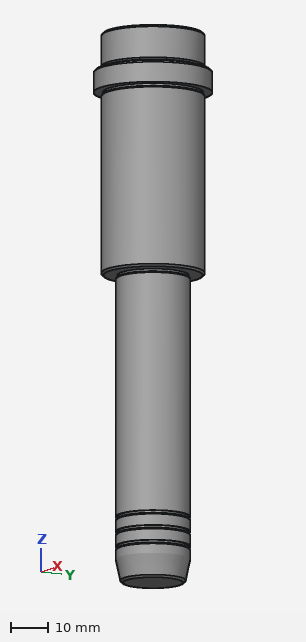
import cadquery as cq

LENGTH = 150.0
COLLAR_TOP = 140.0
COLLAR_HEIGHT = 6.0
BODY_BOTTOM = 84.0
NOSE_HEIGHT = 6.3

COLLAR_DIAMETER = 32.0
BODY_DIAMETER = 27.9
SHANK_DIAMETER = 20.1
NOSE_DIAMETER = 17.4

EDGE_CHAMFER = 0.6
TIP_CHAMFER = 0.6
RELIEF_WIDTH = 1.0
RELIEF_DEPTH = 0.5

GROOVE_COUNT = 3
GROOVE_PITCH = 4.0
LOWEST_GROOVE_TOP = 9.9


def cylinder(diameter, bottom, top):
    return cq.Workplane("XY").workplane(offset=bottom).circle(diameter / 2).extrude(top - bottom)


def relief(diameter, shoulder, direction):
    """Ring with a straight floor at a shoulder, sloping out to the surface away from it."""
    surface = diameter / 2
    floor = surface - RELIEF_DEPTH
    floor_end = shoulder + direction * (RELIEF_WIDTH - RELIEF_DEPTH)
    outer_end = shoulder + direction * RELIEF_WIDTH
    profile = [(surface, shoulder), (floor, shoulder), (floor, floor_end), (surface, outer_end)]
    return cq.Workplane("XZ").polyline(profile).close().revolve(360, (0, 0), (0, 1))


nose = (
    cq.Workplane("XY")
    .circle(NOSE_DIAMETER / 2)
    .workplane(offset=NOSE_HEIGHT)
    .circle(SHANK_DIAMETER / 2)
    .loft()
    .faces("<Z")
    .chamfer(TIP_CHAMFER)
)

collar_bottom = COLLAR_TOP - COLLAR_HEIGHT
shank = cylinder(SHANK_DIAMETER, NOSE_HEIGHT, BODY_BOTTOM)
body = cylinder(BODY_DIAMETER, BODY_BOTTOM, LENGTH).edges().chamfer(EDGE_CHAMFER)
collar = cylinder(COLLAR_DIAMETER, collar_bottom, COLLAR_TOP).faces(">Z").chamfer(EDGE_CHAMFER)
result = nose.union(shank).union(body).union(collar)

result = result.cut(relief(BODY_DIAMETER, COLLAR_TOP, 1))
result = result.cut(relief(BODY_DIAMETER, collar_bottom, -1))
result = result.cut(relief(SHANK_DIAMETER, BODY_BOTTOM, -1))

for index in range(GROOVE_COUNT):
    result = result.cut(relief(SHANK_DIAMETER, LOWEST_GROOVE_TOP + index * GROOVE_PITCH, -1))